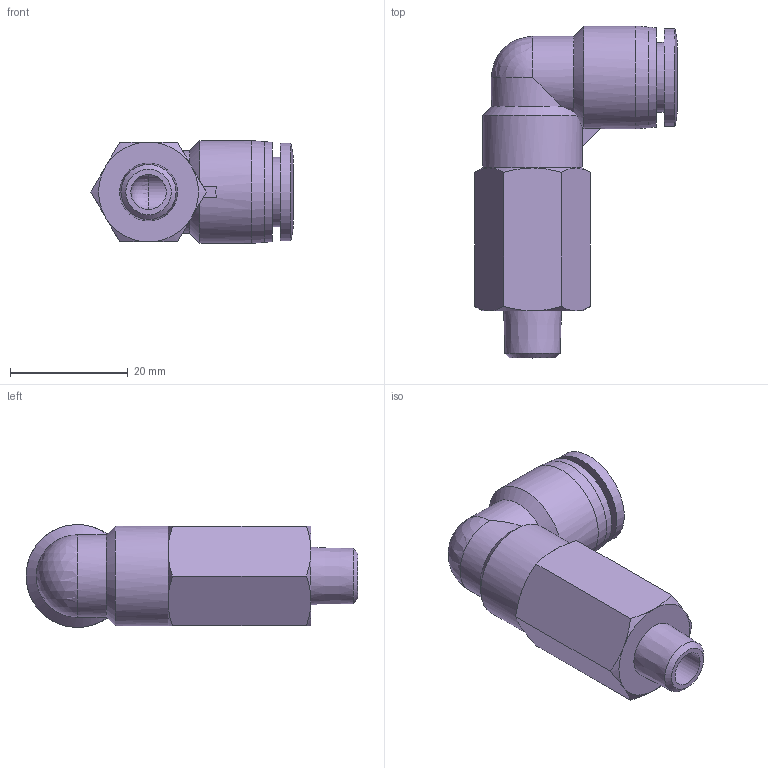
import math

import cadquery as cq


ELBOW_R = 7.0

COLLAR_R = 8.48
COLLAR_CONE_START = 4.9
COLLAR_CONE_END = 6.45

HEX_FLATS = 17.0
HEX_START = 15.4
THREAD_LENGTH = 8.0
STEM_LENGTH = 47.7
HEX_END = STEM_LENGTH - THREAD_LENGTH
HEX_CORNER_R = HEX_FLATS / math.sqrt(3)
HEX_CHAMFER_ANGLE = 30.0
HEX_CHAMFER = (HEX_CORNER_R - HEX_FLATS / 2) * math.tan(math.radians(HEX_CHAMFER_ANGLE))

THREAD_BASE_R = 4.91
TAPER = 1 / 16
TIP_CHAMFER = 0.8
TIP_R = THREAD_BASE_R - THREAD_LENGTH * TAPER / 2
BORE_R = 3.0

BODY_R = 8.75
BODY_CONE_START = 7.0
BODY_CONE_END = BODY_CONE_START + BODY_R - ELBOW_R
BODY_SHOULDER = 17.5
BODY_LIP_START = 19.7
BODY_END = 21.05
BODY_LIP_R = 8.55
BODY_END_R = 8.45

RING_NECK_R = 5.95
RING_R = 8.3
RING_START = 22.4
RING_RIM = 24.2
RING_END = 24.595
RING_FACE_R = 6.2

RIB_WIDTH = 2.0
RIB_REACH = 20.2


def revolve_on_stem(profile):
    """Revolve (radius, distance down the stem) points about the Y axis."""
    points = [(radius, -distance) for radius, distance in profile]
    return cq.Workplane("XY").polyline(points).close().revolve(360, (0, 0), (0, 1))


def revolve_on_socket(profile):
    """Revolve (distance along the socket, radius) points about the X axis."""
    return cq.Workplane("XY").polyline(profile).close().revolve(360, (0, 0), (1, 0))


def make_stem():
    return revolve_on_stem([
        (0, 0),
        (ELBOW_R, 0),
        (ELBOW_R, COLLAR_CONE_START),
        (COLLAR_R, COLLAR_CONE_END),
        (COLLAR_R, HEX_END),
        (THREAD_BASE_R, HEX_END),
        (TIP_R + TIP_CHAMFER * TAPER / 2, STEM_LENGTH - TIP_CHAMFER),
        (TIP_R - TIP_CHAMFER, STEM_LENGTH),
        (0, STEM_LENGTH),
    ])


def make_hexagon():
    """Hexagon with corners on the X axis, both ends chamfered by a cone."""
    prism = (
        cq.Workplane("XZ", origin=(0, -HEX_START, 0))
        .polygon(6, 2 * HEX_CORNER_R)
        .extrude(HEX_END - HEX_START)
    )
    envelope = revolve_on_stem([
        (0, HEX_START),
        (HEX_FLATS / 2, HEX_START),
        (HEX_CORNER_R, HEX_START + HEX_CHAMFER),
        (HEX_CORNER_R, HEX_END - HEX_CHAMFER),
        (HEX_FLATS / 2, HEX_END),
        (0, HEX_END),
    ])
    return prism.intersect(envelope)


def make_socket():
    return revolve_on_socket([
        (0, 0),
        (0, ELBOW_R),
        (BODY_CONE_START, ELBOW_R),
        (BODY_CONE_END, BODY_R),
        (BODY_SHOULDER, BODY_R),
        (BODY_LIP_START, BODY_LIP_R),
        (BODY_END, BODY_END_R),
        (BODY_END, RING_NECK_R),
        (RING_START, RING_NECK_R),
        (RING_START, RING_R),
        (RING_RIM, RING_R),
        (RING_END, RING_FACE_R),
        (RING_END, 0),
    ])


def make_rib():
    """Triangular rib with a 45 degree edge between the collar and the socket body."""
    return (
        cq.Workplane("XY")
        .polyline([(0, 0), (RIB_REACH, 0), (0, -RIB_REACH)])
        .close()
        .extrude(RIB_WIDTH / 2, both=True)
    )


def make_bore():
    """Flow passage up the stem, around the corner and out through the socket."""
    stem_bore = cq.Workplane("XZ").circle(BORE_R).extrude(STEM_LENGTH)
    socket_bore = cq.Workplane("YZ").circle(BORE_R).extrude(RING_END)
    corner_bore = cq.Workplane("XY").sphere(BORE_R)
    return stem_bore.union(corner_bore).union(socket_bore)


corner = cq.Workplane("XY").sphere(ELBOW_R)
result = (
    make_stem()
    .union(corner)
    .union(make_socket())
    .union(make_hexagon())
    .union(make_rib())
    .cut(make_bore())
)